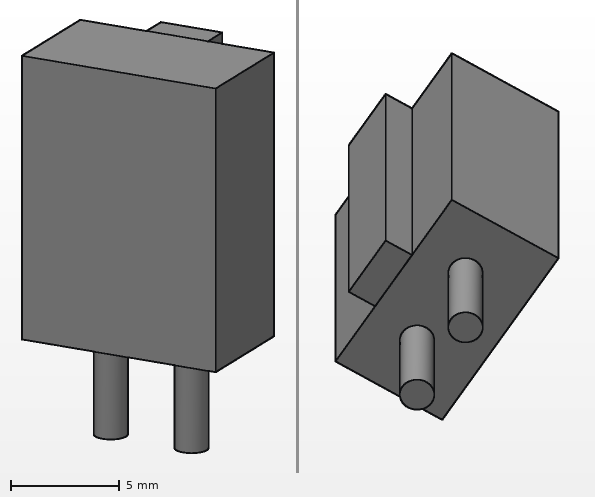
import cadquery as cq

total_height = 18.95
total_depth = 7.25

housing_width = 10.1
housing_depth = 5.82
pin_length = 5.12
housing_height = total_height - pin_length

rail_width = 3.2
rail_depth = total_depth - housing_depth

pin_diameter = 1.6
pin_spacing = 4.2
pin_setback = 3.22


def make_block(width, depth, height, front_y):
    """Block centred on X, standing on Z = 0, with its front face at front_y."""
    return (
        cq.Workplane("XY")
        .box(width, depth, height, centered=(True, False, False))
        .translate((0, front_y, 0))
    )


def make_pin(x):
    """Round pin hanging from the underside of the housing."""
    return (
        cq.Workplane("XY")
        .center(x, pin_setback)
        .circle(pin_diameter / 2)
        .extrude(-pin_length)
    )


housing = make_block(housing_width, housing_depth, housing_height, 0)
rail = make_block(rail_width, rail_depth, housing_height, housing_depth)
pins = [make_pin(side * pin_spacing / 2) for side in (-1, 1)]

result = cq.Compound.makeCompound([housing.val(), rail.val(), *[pin.val() for pin in pins]])